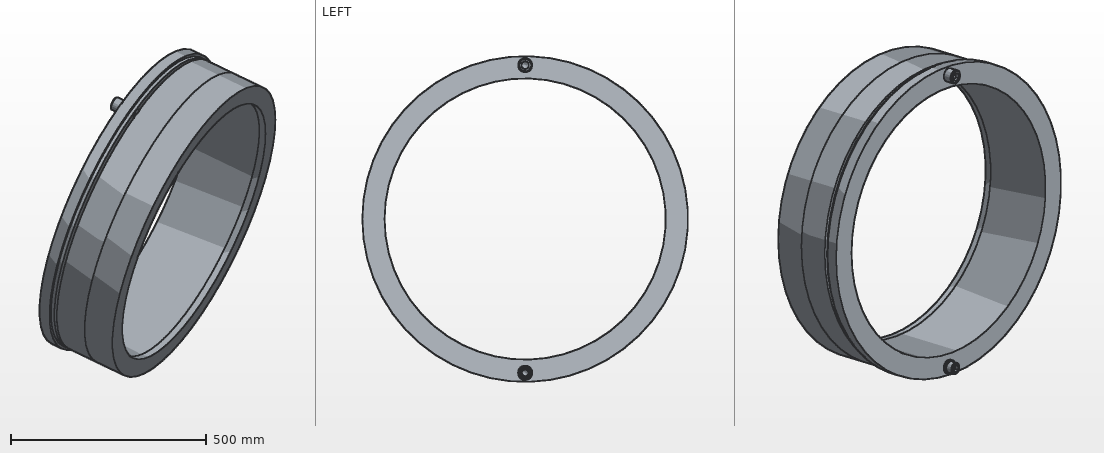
import cadquery as cq
import math


flange_diameter = 835.0
flange_thickness = 30.0
shoulder_thickness = 10.0
sleeve_diameter = 737.0
bore_diameter = 720.0

ring_diameter = 820.0
ring_width = 83.0
ring_gap = 7.5
lip_width = 18.0

screw_offset = 394.0
screw_depth = 33.0
large_shank = 24.0
large_head = 36.0
large_socket = 19.0
small_shank = 20.0
small_head = 30.0
small_socket = 17.0
small_head_height = 20.0
washer_diameter = 37.0
washer_thickness = 6.0
head_chamfer = 2.5
socket_depth = 10.0
socket_cone_angle = 60.0

flange_face = small_head_height + washer_thickness
flange_back = flange_face + flange_thickness
shoulder_face = flange_back + shoulder_thickness
front_ring_face = shoulder_face + ring_gap
back_ring_face = front_ring_face + ring_width
back_ring_end = back_ring_face + ring_width
sleeve_end = back_ring_end - lip_width
screw_tip = front_ring_face + screw_depth


def cylinder(diameter, start, end, z=0.0):
    """Solid cylinder along X from start to end, centred at height z."""
    return (
        cq.Workplane("YZ", origin=(start, 0, z))
        .circle(diameter / 2)
        .extrude(end - start)
    )


def make_screw(head_diameter, head_height, shank_diameter, socket_width, z):
    """Socket head cap screw with its head face at the start of X."""
    head = cylinder(head_diameter, 0, head_height, z).faces("<X").chamfer(head_chamfer)
    shank = cylinder(shank_diameter, head_height, screw_tip, z)
    hexagon_diameter = socket_width / math.cos(math.pi / 6)
    socket = (
        cq.Workplane("YZ", origin=(0, 0, z))
        .transformed(rotate=(0, 0, 90))
        .polygon(6, hexagon_diameter)
        .extrude(socket_depth)
    )
    cone_height = socket_width / 2 / math.tan(math.radians(socket_cone_angle))
    socket_bottom = cq.Workplane(cq.Solid.makeCone(
        socket_width / 2, 0, cone_height,
        pnt=cq.Vector(socket_depth, 0, z), dir=cq.Vector(1, 0, 0),
    ))
    return head.union(shank).cut(socket).cut(socket_bottom)


def make_flanged_sleeve():
    """Flange, stepped shoulder and thin sleeve, bored right through."""
    flange = cylinder(flange_diameter, flange_face, flange_back)
    shoulder = cylinder(ring_diameter, flange_back, shoulder_face)
    sleeve = cylinder(sleeve_diameter, shoulder_face, sleeve_end)
    bore = cylinder(bore_diameter, flange_face, sleeve_end)
    return flange.union(shoulder).union(sleeve).cut(bore)


def make_ring(start):
    """Clamp ring around the sleeve, with a lip where it reaches past the sleeve end."""
    end = start + ring_width
    seat = cylinder(sleeve_diameter, start, min(end, sleeve_end))
    bore = cylinder(bore_diameter, start, end)
    return cylinder(ring_diameter, start, end).cut(seat).cut(bore)


def cut_screw_holes(body):
    """Cut the holes that the two screw shanks fill."""
    large_hole = cylinder(large_shank, flange_face, screw_tip, screw_offset)
    small_hole = cylinder(small_shank, flange_face, screw_tip, -screw_offset)
    return body.cut(large_hole).cut(small_hole)


def make_washer():
    """Washer under the head of the small screw."""
    disc = cylinder(washer_diameter, small_head_height, flange_face, -screw_offset)
    return disc.cut(cylinder(small_shank, small_head_height, flange_face, -screw_offset))


flanged_sleeve = cut_screw_holes(make_flanged_sleeve())
front_ring = cut_screw_holes(make_ring(front_ring_face))
back_ring = make_ring(back_ring_face)
large_screw = make_screw(large_head, flange_face, large_shank, large_socket, screw_offset)
small_screw = make_screw(small_head, small_head_height, small_shank, small_socket, -screw_offset)
washer = make_washer()

result = cq.Compound.makeCompound([
    flanged_sleeve.val(),
    front_ring.val(),
    back_ring.val(),
    large_screw.val(),
    small_screw.val(),
    washer.val(),
])